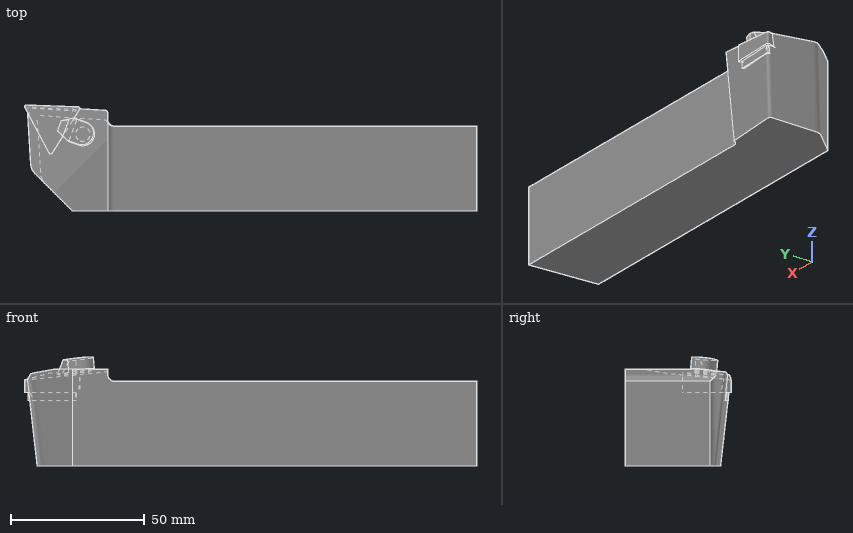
import cadquery as cq
import math

LENGTH = 170.0
SHANK_SIZE = 32.0

HEAD_HEIGHT = 36.5
HEAD_END_X = 31.3
HEAD_STOCK_WIDTH = 42.5
CHAMFER_START_X = 18.0
WALL_LEAN = 6.0
END_WALL_POINT = (4.6, 35.7, 0)
END_WALL_DIRECTION = 184.0
BACK_WALL_POINT = (4.6, 36.0, 0)
BACK_WALL_DIRECTION = 86.0
NOSE_RADIUS = 1.4
FRONT_CORNER_RADIUS = 5.6
BACK_CORNER_RADIUS = 1.2
NECK_RADIUS = 2.5

TOP_TILT = 7.5
HINGE_OFFSET = 4.5
TOP_SLOPE = math.tan(math.radians(TOP_TILT)) / math.sqrt(2)

INSERT_REACH_Y = 40.0
INSERT_BOTTOM = 27.7
INSERT_RADIUS = 0.7
INSERT_SIDE = 19.4
INSERT_TURN = -2.0
SHIM_BOTTOM = 24.6
SHIM_INSET = 1.0

CLAMP_BASE = (22.0, 28.9)
CLAMP_TURN = -20.0
CLAMP_HEIGHT = 5.1
TAIL_RADIUS = 4.5
TAPER_START = -4.0
NOSE_TIP = -9.5
NOSE_TOP = -6.3
NOSE_HALF_WIDTH = 2.0
CLAMP_GAP = 0.7
POST_RADIUS = 2.7

CUTTER_SIZE = 340.0


def top_height(x, y):
    """Height of the sloping top plane at a plan position."""
    return HEAD_HEIGHT - TOP_SLOPE * (y - x + HINGE_OFFSET)


def trim_beyond(body, point, normal):
    """Remove everything on the outward side of a plane."""
    cutter = cq.Workplane(cq.Plane(origin=point, normal=normal)).rect(CUTTER_SIZE, CUTTER_SIZE)
    return body.cut(cutter.extrude(CUTTER_SIZE))


def trim_top(body):
    """Cut a body flush with the sloping top."""
    return trim_beyond(body, (0, 0, top_height(0, 0)), (-TOP_SLOPE, TOP_SLOPE, 1))


def trim_wall(body, point, direction):
    """Cut a wall that leans inward towards the base."""
    angle = math.radians(direction)
    normal = (math.cos(angle), math.sin(angle), -math.tan(math.radians(WALL_LEAN)))
    return trim_beyond(body, point, normal)


def round_edge_near(body, point, radius):
    return body.edges(cq.selectors.NearestToPointSelector(point)).fillet(radius)


def make_head():
    outline = [
        (CHAMFER_START_X, 0),
        (HEAD_END_X, 0),
        (HEAD_END_X, HEAD_STOCK_WIDTH),
        (CHAMFER_START_X - HEAD_STOCK_WIDTH, HEAD_STOCK_WIDTH),
    ]
    head = cq.Workplane().polyline(outline).close().extrude(HEAD_HEIGHT)
    head = trim_wall(head, END_WALL_POINT, END_WALL_DIRECTION)
    head = trim_wall(head, BACK_WALL_POINT, BACK_WALL_DIRECTION)
    middle = HEAD_HEIGHT / 2
    end_x, back_y = END_WALL_POINT[0], BACK_WALL_POINT[1]
    head = round_edge_near(head, (end_x, back_y, middle), NOSE_RADIUS)
    head = round_edge_near(head, (end_x, CHAMFER_START_X - end_x, middle), FRONT_CORNER_RADIUS)
    return round_edge_near(head, (HEAD_END_X, back_y, middle), BACK_CORNER_RADIUS)


def triangle_prism(inset, bottom, top):
    """Round-cornered equilateral triangle under the insert outline, moved in by inset."""
    tip = (INSERT_RADIUS, INSERT_REACH_Y - INSERT_RADIUS)
    corners = [tip]
    for direction in (INSERT_TURN - 60, INSERT_TURN):
        angle = math.radians(direction)
        corners.append((tip[0] + INSERT_SIDE * math.cos(angle), tip[1] + INSERT_SIDE * math.sin(angle)))
    base = cq.Workplane(origin=(0, 0, bottom)).polyline(corners).close()
    return base.offset2D(INSERT_RADIUS - inset).extrude(top - bottom)


def make_insert():
    return trim_top(triangle_prism(0, INSERT_BOTTOM, HEAD_HEIGHT))


def make_clamp():
    angle = math.radians(CLAMP_TURN)
    ax, ay = math.cos(angle), math.sin(angle)
    base = cq.Plane(
        origin=(*CLAMP_BASE, top_height(*CLAMP_BASE)),
        xDir=(ax, ay, TOP_SLOPE * (ax - ay)),
        normal=(-TOP_SLOPE, TOP_SLOPE, 1),
    )
    body = (
        cq.Workplane(base)
        .moveTo(NOSE_TIP, -NOSE_HALF_WIDTH)
        .lineTo(TAPER_START, -TAIL_RADIUS)
        .lineTo(0, -TAIL_RADIUS)
        .threePointArc((TAIL_RADIUS, 0), (0, TAIL_RADIUS))
        .lineTo(TAPER_START, TAIL_RADIUS)
        .lineTo(NOSE_TIP, NOSE_HALF_WIDTH)
        .close()
        .extrude(CLAMP_HEIGHT)
    )
    post = cq.Workplane(base).circle(POST_RADIUS).extrude(CLAMP_GAP)
    clearance_length = 2 * (TAIL_RADIUS - TAPER_START)
    clearance = cq.Workplane(base).center(TAPER_START + clearance_length / 2, 0)
    clearance = clearance.rect(clearance_length, clearance_length).extrude(CLAMP_GAP)
    body = body.cut(clearance.cut(post))
    nose_point = base.toWorldCoords((NOSE_TIP, 0, 0))
    nose_normal = base.xDir * -CLAMP_HEIGHT + base.zDir * (NOSE_TOP - NOSE_TIP)
    return trim_beyond(body, nose_point, nose_normal)


def make_holder():
    shank = cq.Workplane().box(LENGTH - HEAD_END_X, SHANK_SIZE, SHANK_SIZE, centered=False)
    holder = make_head().union(shank.translate((HEAD_END_X, 0, 0)))
    neck_top = (HEAD_END_X, SHANK_SIZE / 2, SHANK_SIZE)
    neck_side = (HEAD_END_X, SHANK_SIZE, SHANK_SIZE / 2)
    nearest = cq.selectors.NearestToPointSelector
    neck_edges = holder.edges(nearest(neck_top)).add(holder.edges(nearest(neck_side)))
    holder = neck_edges.fillet(NECK_RADIUS)
    holder = trim_top(holder)
    holder = holder.union(triangle_prism(SHIM_INSET, SHIM_BOTTOM, INSERT_BOTTOM))
    pocket = triangle_prism(0, INSERT_BOTTOM, HEAD_HEIGHT)
    return holder.cut(pocket).union(make_clamp())


insert = make_insert()
holder = make_holder()
result = cq.Compound.makeCompound([holder.val(), insert.val()])